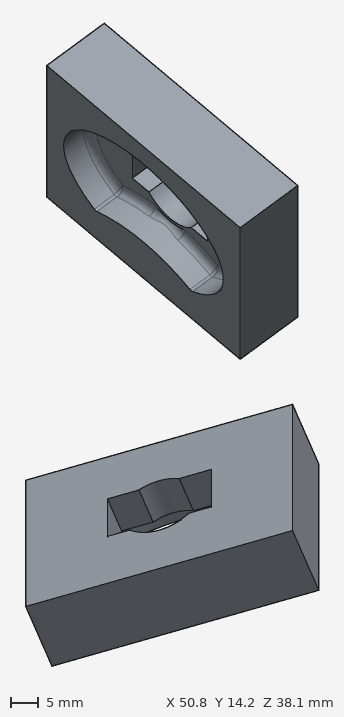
import cadquery as cq
import math

BLOCK_WIDTH = 50.8
BLOCK_DEPTH = 14.15
BLOCK_HEIGHT = 38.1

POCKET_HALF_WIDTH = 20.955
POCKET_HALF_HEIGHT = 13.97
POCKET_DEPTH = 6.55
FLOOR_FILLET = 1.65
CORNER_FILLET = 0.8

SHOULDER_RADIUS = 31.75
SHOULDER_TOP_Z = -8.6
SHOULDER_CENTER_Z = SHOULDER_TOP_Z - SHOULDER_RADIUS

WINDOW_WIDTH = 19.75
WINDOW_CENTER_X = -0.05
WINDOW_TOP_Z = 6.37
WINDOW_BOTTOM_Z = -4.93
BORE_RADIUS = 7.43

LAND_RADIUS = 8.2
BLEND_STATIONS = 7
BLEND_OVERLAP = 1.0

FRONT_Y = -BLOCK_DEPTH / 2
FLOOR_Y = FRONT_Y + POCKET_DEPTH


def extrude_back(profile, y_start, length):
    """Extrude a profile drawn in X and Z by `length` along +Y from y_start."""
    return profile.extrude(-length).translate((0, y_start, 0))


def is_corner_edge(edge):
    """True for the two edges along Y where the ellipse meets the shoulder."""
    runs_along_y = abs(edge.startPoint().y - edge.endPoint().y) > POCKET_DEPTH / 2
    return runs_along_y and edge.Center().z < SHOULDER_TOP_Z


def make_sharp_pocket():
    """Solid that fills the pocket, before its floor edge is rounded."""
    ellipse = cq.Workplane("XZ").ellipse(POCKET_HALF_WIDTH, POCKET_HALF_HEIGHT)
    shoulder = cq.Workplane("XZ").center(0, SHOULDER_CENTER_Z).circle(SHOULDER_RADIUS)
    pocket = extrude_back(ellipse, FRONT_Y, POCKET_DEPTH).cut(extrude_back(shoulder, FRONT_Y, POCKET_DEPTH))
    return pocket.edges().filter(is_corner_edge).fillet(CORNER_FILLET)


def land_distance(angle):
    """Distance from the shoulder's centre to the near side of the land, at an angle from +Z."""
    along = -SHOULDER_CENTER_Z * math.cos(angle)
    across = SHOULDER_CENTER_Z * math.sin(angle)
    return along - math.sqrt(LAND_RADIUS**2 - across**2)


def blend_section(angle):
    """Section of the blend's cut, in a plane through the shoulder's axis.

    An arc of the floor fillet's radius is tangent to the shoulder and reaches the floor at the land's edge.
    """
    arc_center_distance = SHOULDER_RADIUS + FLOOR_FILLET
    land_offset = arc_center_distance - land_distance(angle)
    arc_center_height = math.sqrt(FLOOR_FILLET**2 - land_offset**2)

    floor_end = math.asin(land_offset / FLOOR_FILLET)
    arc_middle = (floor_end + math.pi / 2) / 2

    def point(distance, height):
        return cq.Vector(
            distance * math.sin(angle),
            FLOOR_Y - height,
            SHOULDER_CENTER_Z + distance * math.cos(angle),
        )

    def arc_point(arc_angle):
        return point(
            arc_center_distance - FLOOR_FILLET * math.sin(arc_angle),
            arc_center_height - FLOOR_FILLET * math.cos(arc_angle),
        )

    land_edge = arc_point(floor_end)
    wall_edge = point(SHOULDER_RADIUS, arc_center_height)
    inside_wall = SHOULDER_RADIUS - BLEND_OVERLAP
    above_land = arc_center_distance + BLEND_OVERLAP
    top_height = FLOOR_FILLET + BLEND_OVERLAP
    outline = [
        wall_edge,
        point(inside_wall, arc_center_height),
        point(inside_wall, top_height),
        point(above_land, top_height),
        point(above_land, 0),
        land_edge,
    ]
    edges = [cq.Edge.makeThreePointArc(land_edge, arc_point(arc_middle), wall_edge)]
    edges += [cq.Edge.makeLine(start, end) for start, end in zip(outline, outline[1:])]
    return cq.Wire.assembleEdges(edges)


def make_blend_cut():
    """Material cut from the shoulder fillet where it would run over the land."""
    fillet_edge = SHOULDER_RADIUS + FLOOR_FILLET
    cosine = (fillet_edge**2 + SHOULDER_CENTER_Z**2 - LAND_RADIUS**2) / (-2 * fillet_edge * SHOULDER_CENTER_Z)
    end_angle = math.acos(cosine)
    step = 2 * end_angle / (BLEND_STATIONS - 1)
    sections = [blend_section(-end_angle + index * step) for index in range(BLEND_STATIONS)]
    return cq.Workplane(obj=cq.Solid.makeLoft(sections))


def make_pocket():
    """Solid that fills the finished pocket."""
    sharp_pocket = make_sharp_pocket()
    filleted_pocket = sharp_pocket.faces(">Y").edges().fillet(FLOOR_FILLET)
    return filleted_pocket.union(sharp_pocket.intersect(make_blend_cut()))


def make_window():
    """Solid that fills the window through the whole depth of the block."""
    window_height = WINDOW_TOP_Z - WINDOW_BOTTOM_Z
    window_center_z = (WINDOW_TOP_Z + WINDOW_BOTTOM_Z) / 2
    opening = cq.Workplane("XZ").center(WINDOW_CENTER_X, window_center_z).rect(WINDOW_WIDTH, window_height)
    bore = cq.Workplane("XZ").circle(BORE_RADIUS)
    return extrude_back(opening, FRONT_Y, BLOCK_DEPTH).union(extrude_back(bore, FRONT_Y, BLOCK_DEPTH))


block = cq.Workplane("XY").box(BLOCK_WIDTH, BLOCK_DEPTH, BLOCK_HEIGHT)
result = block.cut(make_pocket()).cut(make_window())